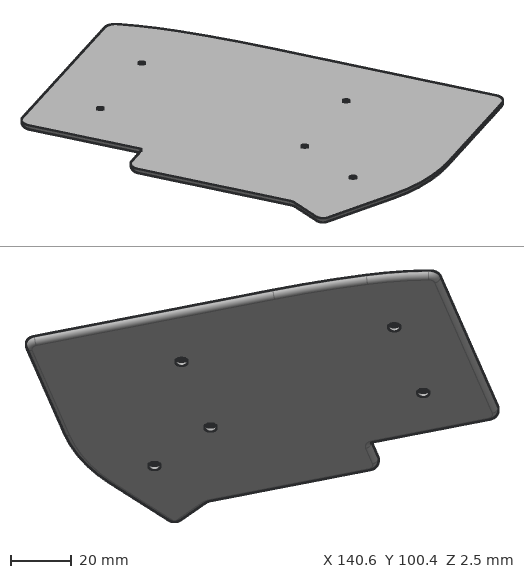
import cadquery as cq
import math

WIDTH = 140.6
DEPTH = 100.38
THICKNESS = 2.5

LEFT_BOTTOM_Y = 19.9
STEP_X = 44.9
STEP_BOTTOM_Y = 6.85
THUMB_ANGLE = math.radians(30)
THUMB_EDGE_START_X = 104.4

CORNER_RADIUS = 4.0
TIP_RADIUS = 3.0
STEP_INNER_RADIUS = 1.0
THUMB_INNER_RADIUS = 4.0
SIDE_ARC_RADIUS = 55.0
BROW_START_X = 54.8
BROW_JOINT_X = 23.2
BROW_FLAT_RADIUS = 341.0
BROW_STEEP_RADIUS = 123.0
BOTTOM_EDGE_RADIUS = 2.0

HOLE_DIAMETER = 2.2
COUNTERBORE_DIAMETER = 4.0
COUNTERBORE_DEPTH = 1.8
HOLE_PAIR_SPACING = 34.0
LEFT_PAIR = (21.0, 39.95)
RIGHT_PAIR = (93.0, 43.1)
THUMB_HOLE = (116.1, 29.95)


def brow_height(x):
    """Height of the two tangent arcs that lower the top edge towards the left."""
    flat_center_y = DEPTH - BROW_FLAT_RADIUS
    if x >= BROW_JOINT_X:
        return flat_center_y + math.sqrt(BROW_FLAT_RADIUS**2 - (BROW_START_X - x) ** 2)

    joint_slope_angle = math.asin((BROW_START_X - BROW_JOINT_X) / BROW_FLAT_RADIUS)
    center_gap = BROW_FLAT_RADIUS - BROW_STEEP_RADIUS
    steep_center_x = BROW_START_X - center_gap * math.sin(joint_slope_angle)
    steep_center_y = flat_center_y + center_gap * math.cos(joint_slope_angle)
    return steep_center_y + math.sqrt(BROW_STEEP_RADIUS**2 - (steep_center_x - x) ** 2)


def brow_point(x):
    return x, brow_height(x)


def thumb_tip():
    """Sharp corner of the thumb tip; its rounding touches the lowest level Y = 0."""
    tip_below_round = TIP_RADIUS * (math.sin(THUMB_ANGLE) + math.cos(THUMB_ANGLE) - 1)
    x = THUMB_EDGE_START_X + (STEP_BOTTOM_Y + tip_below_round) / math.tan(THUMB_ANGLE)
    return x, -tip_below_round


def make_plate():
    tip_x, tip_y = thumb_tip()

    side_corner_y = tip_y + (WIDTH - tip_x) / math.tan(THUMB_ANGLE)
    half_angle = THUMB_ANGLE / 2
    tangent_length = SIDE_ARC_RADIUS * math.tan(half_angle)
    arc_bottom = (
        WIDTH - tangent_length * math.sin(THUMB_ANGLE),
        side_corner_y - tangent_length * math.cos(THUMB_ANGLE),
    )
    arc_top = (WIDTH, side_corner_y + tangent_length)
    arc_middle = (
        WIDTH - SIDE_ARC_RADIUS * (1 - math.cos(half_angle)),
        arc_top[1] - SIDE_ARC_RADIUS * math.sin(half_angle),
    )

    flat_middle_x = (BROW_START_X + BROW_JOINT_X) / 2
    steep_middle_x = BROW_JOINT_X / 2
    plate = (
        cq.Workplane("XY")
        .moveTo(0, LEFT_BOTTOM_Y)
        .lineTo(STEP_X, LEFT_BOTTOM_Y)
        .lineTo(STEP_X, STEP_BOTTOM_Y)
        .lineTo(THUMB_EDGE_START_X, STEP_BOTTOM_Y)
        .lineTo(tip_x, tip_y)
        .lineTo(*arc_bottom)
        .threePointArc(arc_middle, arc_top)
        .lineTo(WIDTH, DEPTH)
        .lineTo(BROW_START_X, DEPTH)
        .threePointArc(brow_point(flat_middle_x), brow_point(BROW_JOINT_X))
        .threePointArc(brow_point(steep_middle_x), brow_point(0))
        .close()
        .extrude(THICKNESS)
    )

    rounded_corners = [
        ((0, LEFT_BOTTOM_Y), CORNER_RADIUS),
        ((STEP_X, LEFT_BOTTOM_Y), STEP_INNER_RADIUS),
        ((STEP_X, STEP_BOTTOM_Y), CORNER_RADIUS),
        ((THUMB_EDGE_START_X, STEP_BOTTOM_Y), THUMB_INNER_RADIUS),
        ((tip_x, tip_y), TIP_RADIUS),
        ((WIDTH, DEPTH), CORNER_RADIUS),
        (brow_point(0), CORNER_RADIUS),
    ]
    for (x, y), radius in rounded_corners:
        corner_edge = cq.selectors.NearestToPointSelector((x, y, THICKNESS / 2))
        plate = plate.edges("|Z").edges(corner_edge).fillet(radius)
    return plate


def round_bottom_edge(plate):
    return plate.faces("<Z").edges().fillet(BOTTOM_EDGE_RADIUS)


def drill_screw_holes(plate):
    centers = [THUMB_HOLE]
    for x, y in (LEFT_PAIR, RIGHT_PAIR):
        centers.append((x, y))
        centers.append((x, y + HOLE_PAIR_SPACING))
    spots = cq.Workplane("XY").pushPoints(centers)
    holes = spots.circle(HOLE_DIAMETER / 2).extrude(THICKNESS)
    counterbores = spots.circle(COUNTERBORE_DIAMETER / 2).extrude(COUNTERBORE_DEPTH)
    return plate.cut(holes).cut(counterbores)


result = drill_screw_holes(round_bottom_edge(make_plate()))